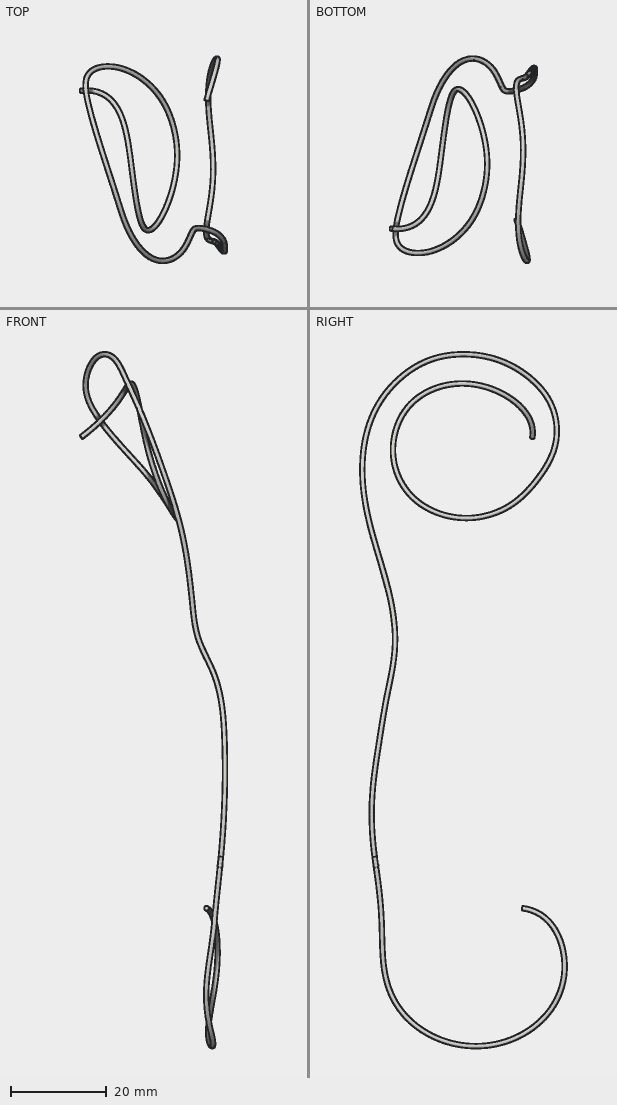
import cadquery as cq

WIRE_DIAMETER = 1.0

INNER_CURL = [
    (-15.1, 14.4, 54.9),
    (-6.8, 9.3, 63.3),
    (-4.6, -1.0, 66.0),
    (-3.0, -11.3, 61.4),
    (-1.0, -14.7, 51.8),
    (2.3, -10.6, 42.4),
    (5.0, 1.2, 38.0),
    (3.2, 9.7, 40.7),
]
OUTER_CURL = [
    (-0.5, 15.2, 45.9),
    (-8.9, 19.5, 55.5),
    (-13.8, 17.4, 63.3),
    (-13.4, 10.7, 69.4),
    (-10.5, 0.9, 72.2),
    (-7.7, -7.7, 70.7),
    (-5.7, -13.6, 66.8),
    (-3.0, -18.2, 61.0),
    (2.2, -21.0, 47.3),
    (5.8, -19.2, 35.5),
]
SHANK = [
    (8.1, -15.0, 19.9),
    (9.3, -14.2, 13.0),
    (12.5, -15.0, 5.8),
    (14.1, -16.1, 0.0),
    (14.8, -17.5, -8.7),
    (14.8, -19.0, -20.3),
    (14.2, -18.7, -30.5),
    (13.2, -17.4, -40.7),
    (12.0, -16.8, -50.8),
    (11.2, -16.1, -58.1),
]
LOWER_HOOK = [
    (11.2, -13.6, -63.9),
    (11.6, -9.9, -67.7),
    (12.3, -2.9, -71.3),
    (12.3, 3.8, -72.0),
    (11.2, 14.0, -68.5),
    (12.6, 19.9, -61.4),
    (13.2, 21.0, -55.2),
    (13.0, 19.6, -48.5),
    (11.0, 12.3, -43.3),
]


def bent_wire(points, diameter):
    """Sweep a round section along a smooth curve through the points."""
    centre_line = cq.Edge.makeSpline([cq.Vector(*point) for point in points])
    start_plane = cq.Plane(
        origin=centre_line.startPoint(),
        normal=centre_line.tangentAt(0),
    )
    section = cq.Workplane(start_plane).circle(diameter / 2)
    return section.sweep(cq.Workplane(obj=cq.Wire.assembleEdges([centre_line])))


result = bent_wire(INNER_CURL + OUTER_CURL + SHANK + LOWER_HOOK, WIRE_DIAMETER)